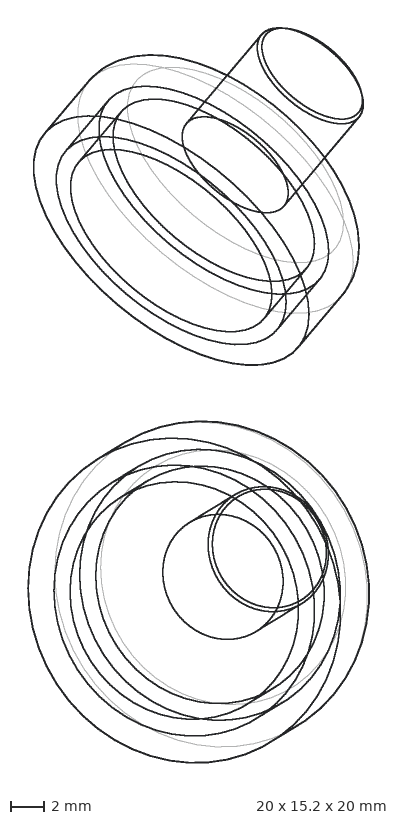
import cadquery as cq

head_diameter = 20.0
head_length = 6.92
head_rounding = 2.15
total_length = 15.25
stem_diameter = 7.7
stem_chamfer = 0.2
ring_outer_diameter = 16.68
magnet_diameter = 14.62
recess_depth = 4.6

stem_length = total_length - head_length


def cylinder_along_y(diameter, length, start=0.0):
    """Solid cylinder on the Y axis, from y = start toward +Y."""
    return cq.Workplane("XZ").workplane(offset=-start).circle(diameter / 2).extrude(-length)


def make_housing():
    """Round head with a rounded back edge, a chamfered stem and a recess in the front face."""
    head = cylinder_along_y(head_diameter, head_length).faces(">Y").edges().fillet(head_rounding)
    stem = cylinder_along_y(stem_diameter, stem_length, head_length)
    stem = stem.faces(">Y").edges().chamfer(stem_chamfer)
    recess = cylinder_along_y(ring_outer_diameter, recess_depth)
    return head.union(stem).cut(recess)


def make_spacer_ring():
    """Ring that fills the gap between the magnet and the wall of the recess."""
    outer = cylinder_along_y(ring_outer_diameter, recess_depth)
    bore = cylinder_along_y(magnet_diameter, recess_depth)
    return outer.cut(bore)


def make_magnet():
    """Disc inside the spacer ring, flush with the front face."""
    return cylinder_along_y(magnet_diameter, recess_depth)


housing = make_housing()
spacer_ring = make_spacer_ring()
magnet = make_magnet()

result = cq.Compound.makeCompound([housing.val(), spacer_ring.val(), magnet.val()])